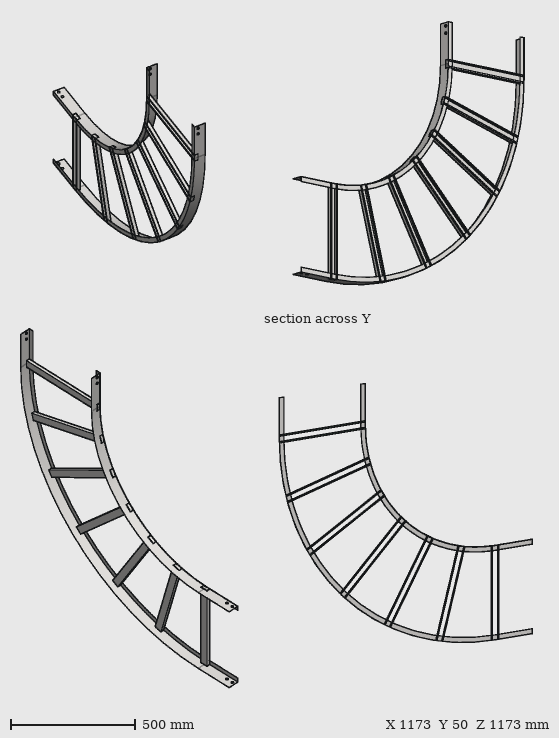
import cadquery as cq
import math

bend_angle = 90.0
overall_length = 1173.0
tray_width = 400.0
inner_radius = 599.0
outer_radius = inner_radius + tray_width
straight_length = overall_length - outer_radius

rail_height = 50.0
flange_width = 22.0
sheet = 2.0
edge_radius = 1.8

rung_count = 7
rung_width = 35.0
rung_back = 19.0
rung_sheet = 1.4
lip_width = 7.0
rung_protrusion = 0.1

hole_diameter = 10.0
hole_height = 18.0
hole_offsets = (14.0, 45.0)


def box_between(x_range, y_range, z_range):
    """Axis-aligned box spanning the given coordinate ranges."""
    spans = [high - low for low, high in (x_range, y_range, z_range)]
    corner = (x_range[0], y_range[0], z_range[0])
    return cq.Workplane("XY").box(*spans, centered=False).translate(corner)


def bent_strip(radius_a, radius_b, height):
    """Strip between two radii, straight-arc-straight, rising in +Y from Y = 0."""
    mid = math.sqrt(0.5)
    return (
        cq.Workplane("XZ")
        .moveTo(-straight_length, -radius_a)
        .lineTo(0, -radius_a)
        .threePointArc((radius_a * mid, -radius_a * mid), (radius_a, 0))
        .lineTo(radius_a, straight_length)
        .lineTo(radius_b, straight_length)
        .lineTo(radius_b, 0)
        .threePointArc((radius_b * mid, -radius_b * mid), (0, -radius_b))
        .lineTo(-straight_length, -radius_b)
        .close()
        .extrude(-height)
    )


def lies_on(edge, faces):
    """True when the edge is one of the boundary edges of any of the faces."""
    return any(edge.isSame(side) for face in faces for side in face.Edges())


def rail(web_radius, inward):
    """Angle rail with rounded front edges; inward (+1 or -1) points radially to the other rail."""
    web = bent_strip(web_radius, web_radius + inward * sheet, rail_height)
    flange = bent_strip(web_radius, web_radius + inward * flange_width, sheet)
    angle_section = web.union(flange)
    end_faces = angle_section.faces("<X or >Z")
    front_edges = angle_section.faces("<Y").edges()
    long_edges = [edge for edge in front_edges.vals() if not lies_on(edge, end_faces.vals())]
    return angle_section.newObject(long_edges).fillet(edge_radius)


def rung(angle):
    """Lipped channel spanning the rails, turned about Y from the -Z direction toward +X."""
    half = rung_width / 2
    front = sheet
    length_range = (-(outer_radius - sheet / 2), -(inner_radius - rung_protrusion))
    channel = box_between((-half, half), (front, rung_back), length_range)
    inside = half - rung_sheet
    opening = half - lip_width
    lip_back = front + rung_sheet
    cavity = box_between((-inside, inside), (lip_back, rung_back - rung_sheet), length_range)
    mouth = box_between((-opening, opening), (front, lip_back), length_range)
    return channel.cut(cavity).cut(mouth).rotate((0, 0, 0), (0, 1, 0), -angle)


def splice_holes(offset):
    """Drills crossing both rails at each end, at a distance from the rail end."""
    along = straight_length - offset
    depth = tray_width + 2 * sheet
    start = inner_radius - sheet
    radius = hole_diameter / 2
    left_holes = cq.Solid.makeCylinder(
        radius, depth, cq.Vector(-along, hole_height, -start), cq.Vector(0, 0, -1)
    )
    upper_holes = cq.Solid.makeCylinder(
        radius, depth, cq.Vector(start, hole_height, along), cq.Vector(1, 0, 0)
    )
    return cq.Workplane("XY").add(left_holes).add(upper_holes).combine()


result = rail(inner_radius, 1).union(rail(outer_radius, -1))

for index in range(rung_count):
    result = result.union(rung(bend_angle * index / (rung_count - 1)))

for offset in hole_offsets:
    result = result.cut(splice_holes(offset))